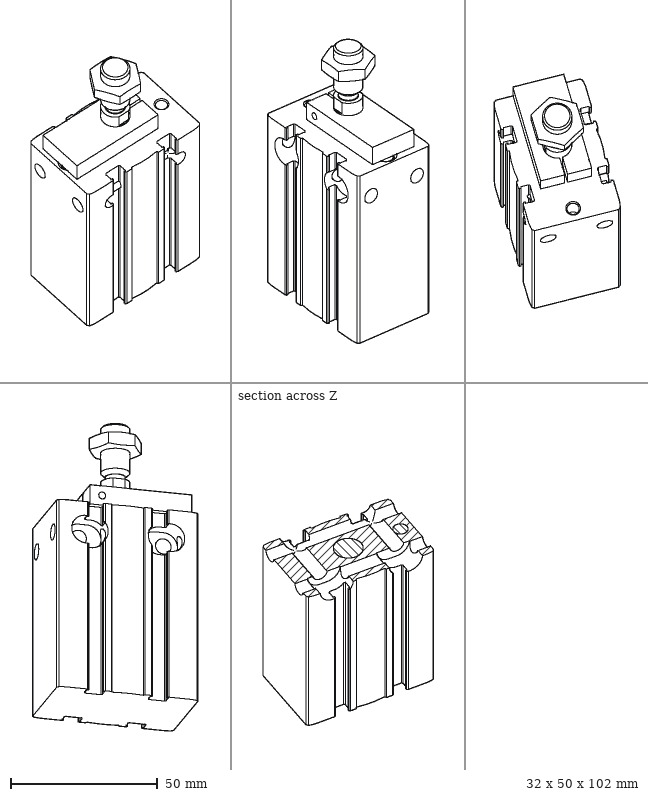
import cadquery as cq
import math

HOUSING_HEIGHT = 68.0
PLATE_GAP = 2.0
PLATE_THICKNESS = 7.0
PLATE_BOTTOM = HOUSING_HEIGHT + PLATE_GAP
PLATE_TOP = PLATE_BOTTOM + PLATE_THICKNESS
ROD_TOP = 102.0

HALF_WIDTH = 16.0
HALF_LENGTH = 25.0
SHOULDER_RADIUS = 12.5
SHOULDER_START_Y = 21.25
CORNER_Y = 24.4
CORNER_X = HALF_WIDTH - SHOULDER_RADIUS + math.sqrt(
    SHOULDER_RADIUS**2 - (CORNER_Y - SHOULDER_START_Y)**2)
END_FACE_HALF_WIDTH = 14.8

RECESS_HALF_LENGTH = 5.9
RECESS_FLOOR_HALF_LENGTH = 5.6
BULGE_HALF_LENGTH = 5.0
RECESS_DEPTH = 0.6
BULGE_HEIGHT = 0.4

T_SLOT_Y = 11.3
T_SLOT_MOUTH = 5.2
T_SLOT_WIDTH = 6.3
T_SLOT_DEPTH = 4.1
LIP_THICKNESS = 0.9
LIP_CHAMFER_RUN = 0.3
LIP_CHAMFER_RISE = 0.55
FLOOR_CHAMFER = 0.4

MOUNT_HOLE_DIAMETER = 5.5
MOUNT_HOLE_DROP = 10.0
MOUNT_HOLE_Z = HOUSING_HEIGHT - MOUNT_HOLE_DROP
END_MOUNT_X = 10.0
SIDE_MOUNT_Y = 15.0
COUNTERBORE_DIAMETER = 10.0
COUNTERBORE_INNER_Y = 12.1
COUNTERBORE_DEPTH = 9.0

PORT_Y = 20.5
PORT_DIAMETER = 4.13
PORT_MOUTH_DIAMETER = 5.0
PORT_DEPTH = 8.0
DRILL_POINT_ANGLE = 118.0

ROD_DIAMETER = 10.0
ROD_INSERTION = 20.0
FLATS_CLEARANCE = 0.5
FLATS_BOTTOM = PLATE_TOP + FLATS_CLEARANCE
FLATS_WIDTH = 9.0
NECK_BOTTOM = 82.0
NECK_TOP = 84.0
NECK_DIAMETER = 6.67
NECK_END_DIAMETER = 7.0
THREAD_DIAMETER = 10.0
THREAD_TIP_DIAMETER = 8.65

PLATE_WIDTH = 18.0
PLATE_FRONT_Y = -24.5
PLATE_BACK_Y = 11.5
CLAMP_GAP = 1.0
CLAMP_HOLE_DIAMETER = 2.46
CLAMP_HOLE_Y = 7.2
CLAMP_HOLE_DEPTH = 6.0

GUIDE_DIAMETER = 5.0
GUIDE_Y = -20.4
GUIDE_INSERTION = 20.0
GUIDE_MOUTH_DIAMETER = 7.6
GUIDE_SHELF_DIAMETER = 5.9

NUT_WIDTH = 16.0
NUT_THICKNESS = 5.0
NUT_BOTTOM = 92.75
NUT_FACE_DIAMETER = 14.5
NUT_CHAMFER_ANGLE = 15.0


def cylinder(diameter, bottom, top, y=0.0):
    """Upright cylinder on the plane X = 0."""
    return cq.Workplane("XY", origin=(0, y, bottom)).circle(diameter / 2).extrude(top - bottom)


def cone(bottom_diameter, top_diameter, bottom, top, y=0.0):
    """Upright truncated cone on the plane X = 0; a zero bottom diameter gives a point."""
    solid = cq.Solid.makeCone(
        bottom_diameter / 2, top_diameter / 2, top - bottom, pnt=cq.Vector(0, y, bottom))
    return cq.Workplane(solid)


def housing_blank():
    """Extruded section, without its T-slots."""
    recess_x = HALF_WIDTH - RECESS_DEPTH
    bulge_x = recess_x + BULGE_HEIGHT
    middle_angle = math.asin((CORNER_Y - SHOULDER_START_Y) / SHOULDER_RADIUS) / 2
    middle_x = HALF_WIDTH - SHOULDER_RADIUS * (1 - math.cos(middle_angle))
    middle_y = SHOULDER_START_Y + SHOULDER_RADIUS * math.sin(middle_angle)

    def side(outline, s):
        """Half outline on the X side given by the sign s, drawn from end face to end face."""
        return (
            outline.lineTo(s * END_FACE_HALF_WIDTH, -s * HALF_LENGTH)
            .lineTo(s * CORNER_X, -s * CORNER_Y)
            .threePointArc((s * middle_x, -s * middle_y), (s * HALF_WIDTH, -s * SHOULDER_START_Y))
            .lineTo(s * HALF_WIDTH, -s * RECESS_HALF_LENGTH)
            .lineTo(s * recess_x, -s * RECESS_FLOOR_HALF_LENGTH)
            .lineTo(s * recess_x, -s * BULGE_HALF_LENGTH)
            .threePointArc((s * bulge_x, 0), (s * recess_x, s * BULGE_HALF_LENGTH))
            .lineTo(s * recess_x, s * RECESS_FLOOR_HALF_LENGTH)
            .lineTo(s * HALF_WIDTH, s * RECESS_HALF_LENGTH)
            .lineTo(s * HALF_WIDTH, s * SHOULDER_START_Y)
            .threePointArc((s * middle_x, s * middle_y), (s * CORNER_X, s * CORNER_Y))
            .lineTo(s * END_FACE_HALF_WIDTH, s * HALF_LENGTH)
        )

    outline = cq.Workplane("XY").moveTo(-END_FACE_HALF_WIDTH, -HALF_LENGTH)
    outline = side(outline, 1)
    outline = side(outline, -1)
    return outline.close().extrude(HOUSING_HEIGHT)


def t_slot(side, y):
    """T-slot cutter on the X side given by its sign, centred on y."""
    floor_x = HALF_WIDTH - T_SLOT_DEPTH
    lip_x = HALF_WIDTH - LIP_THICKNESS
    chamfer_x = HALF_WIDTH - LIP_CHAMFER_RUN
    half_mouth = T_SLOT_MOUTH / 2
    half_slot = T_SLOT_WIDTH / 2
    upper = [
        (floor_x, half_slot - FLOOR_CHAMFER),
        (floor_x + FLOOR_CHAMFER, half_slot),
        (lip_x, half_slot),
        (lip_x, half_mouth),
        (chamfer_x, half_mouth),
        (HALF_WIDTH, half_mouth + LIP_CHAMFER_RISE),
    ]
    lower = [(x, -across) for x, across in reversed(upper)]
    points = [(side * x, y + across) for x, across in upper + lower]
    return cq.Workplane("XY").polyline(points).close().extrude(HOUSING_HEIGHT)


def end_mount_hole(x):
    """Plain hole along Y through the whole housing."""
    return (
        cq.Workplane("XZ", origin=(x, HALF_LENGTH, MOUNT_HOLE_Z))
        .circle(MOUNT_HOLE_DIAMETER / 2)
        .extrude(2 * HALF_LENGTH)
    )


def side_mount_hole(end):
    """Hole along X on the Y side given by its sign, with an elongated counterbore on the -X face."""
    plane = cq.Workplane("YZ", origin=(-HALF_WIDTH, 0, MOUNT_HOLE_Z))
    hole = plane.center(end * SIDE_MOUNT_Y, 0).circle(MOUNT_HOLE_DIAMETER / 2).extrude(2 * HALF_WIDTH)
    slot_centre = (SIDE_MOUNT_Y + COUNTERBORE_INNER_Y) / 2
    slot_length = SIDE_MOUNT_Y - COUNTERBORE_INNER_Y + COUNTERBORE_DIAMETER
    counterbore = (
        cq.Workplane("YZ", origin=(-HALF_WIDTH, end * slot_centre, MOUNT_HOLE_Z))
        .slot2D(slot_length, COUNTERBORE_DIAMETER)
        .extrude(COUNTERBORE_DEPTH)
    )
    return hole.union(counterbore)


def port():
    """Threaded port with a chamfered mouth and a drill point."""
    bottom = HOUSING_HEIGHT - PORT_DEPTH
    point_length = PORT_DIAMETER / 2 / math.tan(math.radians(DRILL_POINT_ANGLE / 2))
    mouth_depth = (PORT_MOUTH_DIAMETER - PORT_DIAMETER) / 2
    mouth = cone(PORT_DIAMETER, PORT_MOUTH_DIAMETER, HOUSING_HEIGHT - mouth_depth, HOUSING_HEIGHT, PORT_Y)
    return (
        cylinder(PORT_DIAMETER, bottom, HOUSING_HEIGHT, PORT_Y)
        .union(cone(0, PORT_DIAMETER, bottom - point_length, bottom, PORT_Y))
        .union(mouth)
    )


def make_housing():
    body = housing_blank()
    for end in (-1, 1):
        for side in (-1, 1):
            body = body.cut(t_slot(side, end * T_SLOT_Y))
        body = body.cut(end_mount_hole(end * END_MOUNT_X))
        body = body.cut(side_mount_hole(end))
    body = body.cut(port())
    body = body.cut(cylinder(ROD_DIAMETER, HOUSING_HEIGHT - ROD_INSERTION, HOUSING_HEIGHT))
    body = body.cut(cylinder(GUIDE_DIAMETER, HOUSING_HEIGHT - GUIDE_INSERTION, HOUSING_HEIGHT, GUIDE_Y))
    mouth_depth = (GUIDE_MOUTH_DIAMETER - GUIDE_SHELF_DIAMETER) / 2
    return body.cut(
        cone(GUIDE_SHELF_DIAMETER, GUIDE_MOUTH_DIAMETER, HOUSING_HEIGHT - mouth_depth, HOUSING_HEIGHT, GUIDE_Y))


def make_rod():
    """Piston rod with wrench flats, a neck and a threaded end."""
    rod_radius = ROD_DIAMETER / 2
    neck_radius = NECK_DIAMETER / 2
    neck_end_radius = NECK_END_DIAMETER / 2
    neck_flare = neck_end_radius - neck_radius
    thread_radius = THREAD_DIAMETER / 2
    tip_radius = THREAD_TIP_DIAMETER / 2
    profile = [
        (0, HOUSING_HEIGHT - ROD_INSERTION),
        (rod_radius, HOUSING_HEIGHT - ROD_INSERTION),
        (rod_radius, NECK_BOTTOM),
        (neck_end_radius, NECK_BOTTOM),
        (neck_radius, NECK_BOTTOM + neck_flare),
        (neck_radius, NECK_TOP),
        (neck_end_radius, NECK_TOP),
        (thread_radius, NECK_TOP + thread_radius - neck_end_radius),
        (thread_radius, ROD_TOP - thread_radius + tip_radius),
        (tip_radius, ROD_TOP),
        (0, ROD_TOP),
    ]
    body = cq.Workplane("XZ").polyline(profile).close().revolve(360, (0, 0), (0, 1))
    for side in (-1, 1):
        flat = cq.Workplane("XY").box(
            ROD_DIAMETER, ROD_DIAMETER, NECK_BOTTOM - FLATS_BOTTOM, centered=(True, True, False))
        flat_x = side * (FLATS_WIDTH + ROD_DIAMETER) / 2
        body = body.cut(flat.translate((flat_x, 0, FLATS_BOTTOM)))
    return body


def make_plate():
    """Split plate clamped around the piston rod."""
    length = PLATE_BACK_Y - PLATE_FRONT_Y
    body = cq.Workplane("XY", origin=(0, PLATE_FRONT_Y, PLATE_BOTTOM)).box(
        PLATE_WIDTH, length, PLATE_THICKNESS, centered=(True, False, False))
    clamp_gap = cq.Workplane("XY", origin=(0, 0, PLATE_BOTTOM)).box(
        CLAMP_GAP, PLATE_BACK_Y, PLATE_THICKNESS, centered=(True, False, False))
    clamp_hole = (
        cq.Workplane("YZ", origin=(-PLATE_WIDTH / 2, CLAMP_HOLE_Y, PLATE_BOTTOM + PLATE_THICKNESS / 2))
        .circle(CLAMP_HOLE_DIAMETER / 2)
        .extrude(CLAMP_HOLE_DEPTH)
    )
    return body.cut(cylinder(ROD_DIAMETER, PLATE_BOTTOM, PLATE_TOP)).cut(clamp_gap).cut(clamp_hole)


def make_guide_pin():
    return cylinder(GUIDE_DIAMETER, HOUSING_HEIGHT - GUIDE_INSERTION, PLATE_BOTTOM, GUIDE_Y)


def make_nut():
    """Hexagon nut with corners on the Y axis, both faces chamfered to a circle."""
    corner_radius = NUT_WIDTH / math.sqrt(3)
    face_radius = NUT_FACE_DIAMETER / 2
    drop = (corner_radius - face_radius) * math.tan(math.radians(NUT_CHAMFER_ANGLE))
    hexagon = (
        cq.Workplane("XY", origin=(0, 0, NUT_BOTTOM))
        .transformed(rotate=(0, 0, 90))
        .polygon(6, 2 * corner_radius)
        .extrude(NUT_THICKNESS)
    )
    top = NUT_BOTTOM + NUT_THICKNESS
    chamfer_profile = [
        (0, NUT_BOTTOM),
        (face_radius, NUT_BOTTOM),
        (corner_radius, NUT_BOTTOM + drop),
        (corner_radius, top - drop),
        (face_radius, top),
        (0, top),
    ]
    envelope = cq.Workplane("XZ").polyline(chamfer_profile).close().revolve(360, (0, 0), (0, 1))
    return hexagon.intersect(envelope).cut(cylinder(THREAD_DIAMETER, NUT_BOTTOM, top))


housing = make_housing()
rod = make_rod()
plate = make_plate()
guide_pin = make_guide_pin()
nut = make_nut()

result = cq.Compound.makeCompound(
    [housing.val(), rod.val(), plate.val(), guide_pin.val(), nut.val()])